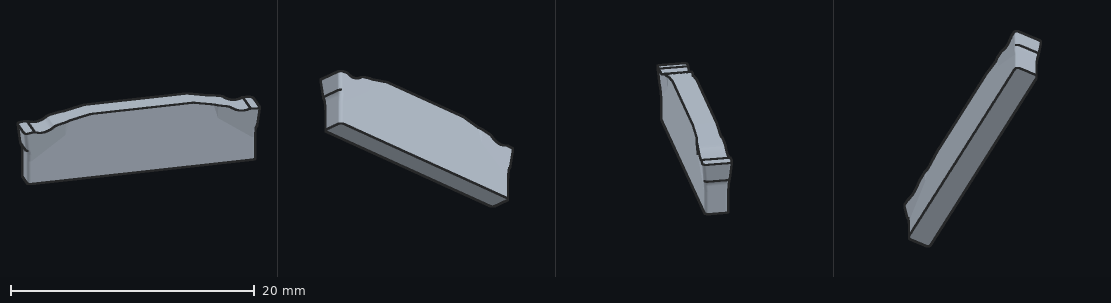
import cadquery as cq

LENGTH = 20.08
BLANK_WIDTH = 3.01
SHANK_WIDTH = 2.0
HEIGHT = 5.68

SHANK_INSET = 0.32
EDGE_HEIGHT = 4.62
CLEARANCE_INSET = 0.18
CLEARANCE_FOOT = 3.01
BLEND_FOOT = 2.53

LAND_INSET = 0.68
LAND_HEIGHT = 4.7
LAND_BACK_INSET = 0.86
GROOVE_START_INSET = 1.16
GROOVE_START_HEIGHT = 4.6
VALLEY_INSET = 1.53
VALLEY_HEIGHT = 4.55
GROOVE_MID_INSET = 2.09
GROOVE_MID_HEIGHT = 4.7
GROOVE_END_INSET = 2.55
GROOVE_END_HEIGHT = 4.98
RAMP_INSET = 2.73
RAMP_HEIGHT = 5.06
CREST_INSET = 5.66

FLARE_INSET = 3.55
FLARE_HEIGHT = 4.04
FLANK_EDGE_DROP = 0.7
FLANK_DRAFT = 0.086
BACK_FACE_LEAN = 0.3
BLOCK_SIZE = 3 * LENGTH

CORNER_RADIUS = 0.3


def half_profile():
    """Side outline of the -Y half, extruded to the blank width."""
    end = -LENGTH / 2
    outline = (
        cq.Workplane("YZ", origin=(-BLANK_WIDTH / 2, 0, 0))
        .moveTo(0, 0)
        .lineTo(end + SHANK_INSET, 0)
        .lineTo(end + SHANK_INSET, BLEND_FOOT)
        .tangentArcPoint((end + CLEARANCE_INSET, CLEARANCE_FOOT), relative=False)
        .lineTo(end, EDGE_HEIGHT)
        .lineTo(end + LAND_INSET, LAND_HEIGHT)
        .lineTo(end + LAND_BACK_INSET, LAND_HEIGHT)
        .lineTo(end + GROOVE_START_INSET, GROOVE_START_HEIGHT)
        .lineTo(end + VALLEY_INSET, VALLEY_HEIGHT)
        .threePointArc(
            (end + GROOVE_MID_INSET, GROOVE_MID_HEIGHT),
            (end + GROOVE_END_INSET, GROOVE_END_HEIGHT),
        )
        .lineTo(end + RAMP_INSET, RAMP_HEIGHT)
        .lineTo(end + CREST_INSET, HEIGHT)
        .lineTo(0, HEIGHT)
        .close()
    )
    return outline.extrude(BLANK_WIDTH)


def half_space(point, normal):
    """Large block on the inner side of a plane with the given outward normal."""
    plane = cq.Plane(origin=point, normal=normal)
    return cq.Workplane(plane).rect(BLOCK_SIZE, BLOCK_SIZE).extrude(-BLOCK_SIZE)


def flared_body(profile):
    """Profile trimmed by the drafted flanks and by the faces behind the flare."""
    corner = cq.Vector(SHANK_WIDTH / 2, FLARE_INSET - LENGTH / 2, FLARE_HEIGHT)
    lower_edge = cq.Vector(0, -1, -FLANK_EDGE_DROP)
    upright_edge = cq.Vector(FLANK_DRAFT, 0, 1)
    back_edge = cq.Vector(0, BACK_FACE_LEAN, 1)
    flank = half_space(corner, upright_edge.cross(lower_edge))
    back = half_space(corner, back_edge.cross(upright_edge))
    body = profile
    for trim in (flank, back):
        body = body.intersect(trim).intersect(trim.mirror("YZ"))
    return body


def shank_body(profile):
    """Profile trimmed to the parallel-sided shank width."""
    shank_box = cq.Workplane().box(SHANK_WIDTH, 2 * LENGTH, 2 * HEIGHT)
    return profile.intersect(shank_box)


def round_end_corners(body):
    """Round the upright corners of the end, from the base to the cutting edge."""
    end = -LENGTH / 2
    end_zone = cq.selectors.BoxSelector(
        (-BLANK_WIDTH, end - SHANK_INSET, 0),
        (BLANK_WIDTH, end + 2 * SHANK_INSET, EDGE_HEIGHT),
    )
    crosswise = cq.selectors.ParallelDirSelector(cq.Vector(1, 0, 0))
    return body.edges(end_zone - crosswise).fillet(CORNER_RADIUS)


profile = half_profile()
shank = round_end_corners(shank_body(profile))
head = round_end_corners(flared_body(profile))
half = shank.union(head)

result = half.union(half.mirror("XZ"))